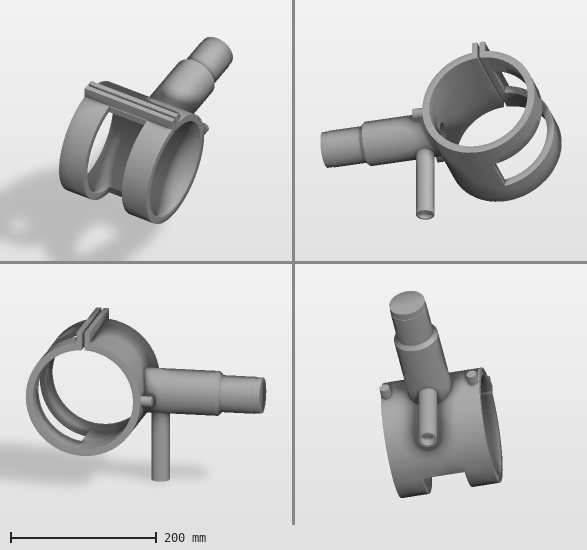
import cadquery as cq

ring_outer_radius = 80.0
ring_inner_radius = 70.0
ring_width = 138.0

lug_top = 94.7
lug_thickness = 7.0
split_gap = 3.8
lug_span = split_gap + 2 * lug_thickness

window_width = 60.0
window_back_y = -10.0

overall_length = 317.8
tower_radius = 30.8
neck_radius = 25.5
cap_radius = 24.8
bore_radius = 15.0
tower_end_y = overall_length - ring_outer_radius
cap_length = 10.0
neck_end_y = tower_end_y - cap_length
shoulder_y = 176.5
shoulder_length = tower_radius - neck_radius

outlet_radius = 12.7
outlet_bore_radius = 10.0
outlet_y = 95.0
outlet_bottom_z = -125.8

pin_radius = 7.0
pin_offset_x = 61.0
pin_end_y = 95.0


def cylinder_along_x(radius, length):
    """Cylinder centred on the origin."""
    return cq.Workplane("YZ").circle(radius).extrude(length / 2, both=True)


def cylinder_along_y(radius, start_y, end_y, x=0):
    """Cylinder at height zero between two Y positions."""
    start_plane = cq.Workplane("XZ", origin=(x, start_y, 0))
    return start_plane.circle(radius).extrude(start_y - end_y)


def make_tower():
    """Solid stepped tower, starting on the ring axis."""
    profile = [
        (0, 0),
        (tower_radius, 0),
        (tower_radius, shoulder_y),
        (neck_radius, shoulder_y + shoulder_length),
        (neck_radius, neck_end_y),
        (0, neck_end_y),
    ]
    return cq.Workplane("XY").polyline(profile).close().revolve(360, (0, 0), (0, 1))


def outlet_cylinder(radius):
    """Cylinder hanging from the tower axis down to the outlet's open end."""
    return cq.Workplane("XY").center(0, outlet_y).circle(radius).extrude(outlet_bottom_z)


def make_window_cutter():
    """Block that removes the ring in front of the window's back faces."""
    depth = ring_outer_radius + window_back_y
    cutter = cq.Workplane("XY").box(window_width, depth, 2 * ring_outer_radius)
    return cutter.translate((0, window_back_y - depth / 2, 0))


def make_saddle():
    """Clamp ring with lugs, bored tower, bored outlet and terminal pins."""
    lugs = cq.Workplane("XY").rect(ring_width, lug_span).extrude(lug_top)
    split = cq.Workplane("XY").rect(ring_width, split_gap).extrude(lug_top)
    saddle = cylinder_along_x(ring_outer_radius, ring_width)
    saddle = saddle.union(lugs).union(make_tower()).union(outlet_cylinder(outlet_radius))
    for x in (-pin_offset_x, pin_offset_x):
        saddle = saddle.union(cylinder_along_y(pin_radius, 0, pin_end_y, x))
    saddle = saddle.cut(cylinder_along_x(ring_inner_radius, ring_width))
    saddle = saddle.cut(split).cut(make_window_cutter())
    saddle = saddle.cut(outlet_cylinder(outlet_bore_radius))
    return saddle.cut(cylinder_along_y(bore_radius, 0, neck_end_y))


def make_cap():
    """Disc that covers the end of the neck."""
    return cylinder_along_y(cap_radius, neck_end_y, tower_end_y)


saddle = make_saddle()
cap = make_cap()
result = cq.Compound.makeCompound([saddle.val(), cap.val()])